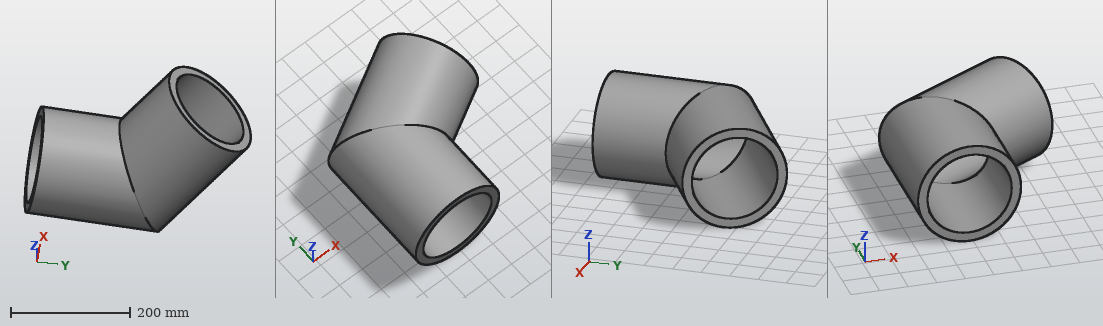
import cadquery as cq
import math

outer_diameter = 180.0
wall_thickness = 16.4
bend_angle = 60.0
leg_length = 180.665

outer_radius = outer_diameter / 2
inner_radius = outer_radius - wall_thickness
turn = math.radians(bend_angle)

inlet_centre = (0, -leg_length)
mitre_centre = (0, 0)
outlet_centre = (leg_length * math.sin(turn), leg_length * math.cos(turn))


def mitred_rod(radius):
    """Solid round rod following the pipe axis with a sharp mitre at the bend."""
    axis_path = cq.Workplane("XY").polyline([inlet_centre, mitre_centre, outlet_centre])
    inlet_plane = cq.Workplane("XZ", origin=(*inlet_centre, 0))
    return inlet_plane.circle(radius).sweep(axis_path, transition="right")


result = mitred_rod(outer_radius).cut(mitred_rod(inner_radius))